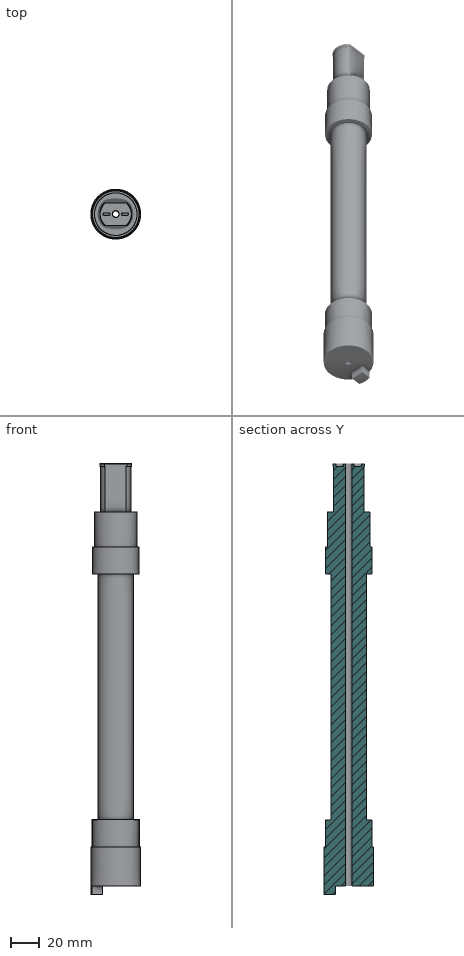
import cadquery as cq

TOTAL_HEIGHT = 301.8
LUG_HEIGHT = 6.0
SOCKET_TOP = 33.5
LOWER_SLEEVE_TOP = 52.5
UPPER_SLEEVE_BOTTOM = 224.5
UPPER_SLEEVE_TOP = 243.5
PLUG_TOP = 268.0

SOCKET_DIAMETER = 34.8
LOWER_SLEEVE_DIAMETER = 33.0
TUBE_DIAMETER = 25.0
UPPER_SLEEVE_DIAMETER = 32.7
PLUG_DIAMETER = 29.8

LUG_WIDTH = 9.8
LUG_LENGTH = 8.2

TANG_DIAMETER = 21.5
TANG_THICKNESS = 15.7
RIM_DIAMETER = 22.3
RIM_HEIGHT = 2.0

BORE_DIAMETER = 4.5
SLOT_INNER_END = 4.0
SLOT_OUTER_END = 8.9
SLOT_WIDTH = 1.6
SLOT_DEPTH = 2.0


def round_section(diameter, bottom, top):
    """Solid cylinder on the Z axis between two levels."""
    return cq.Workplane("XY").workplane(offset=bottom).circle(diameter / 2).extrude(top - bottom)


def flatted_section(diameter, thickness, bottom, top):
    """Cylinder with two parallel flats facing -Y and +Y."""
    slab = (
        cq.Workplane("XY")
        .workplane(offset=bottom)
        .rect(diameter, thickness)
        .extrude(top - bottom)
    )
    return round_section(diameter, bottom, top).intersect(slab)


def driving_lug():
    """Lug on the -X side, flush with the outside of the socket."""
    radius = SOCKET_DIAMETER / 2
    block = (
        cq.Workplane("XY")
        .center(-radius + LUG_LENGTH / 2, 0)
        .rect(LUG_LENGTH, LUG_WIDTH)
        .extrude(SOCKET_TOP)
    )
    return block.intersect(round_section(SOCKET_DIAMETER, 0, SOCKET_TOP))


def stepped_body():
    """Socket, sleeves, tube and plug stacked along Z."""
    body = round_section(SOCKET_DIAMETER, LUG_HEIGHT, SOCKET_TOP)
    body = body.union(round_section(LOWER_SLEEVE_DIAMETER, SOCKET_TOP, LOWER_SLEEVE_TOP))
    body = body.union(round_section(TUBE_DIAMETER, LOWER_SLEEVE_TOP, UPPER_SLEEVE_BOTTOM))
    body = body.union(round_section(UPPER_SLEEVE_DIAMETER, UPPER_SLEEVE_BOTTOM, UPPER_SLEEVE_TOP))
    return body.union(round_section(PLUG_DIAMETER, UPPER_SLEEVE_TOP, PLUG_TOP))


def tang():
    """Flatted tang and its slightly wider rim."""
    rim_bottom = TOTAL_HEIGHT - RIM_HEIGHT
    shank = flatted_section(TANG_DIAMETER, TANG_THICKNESS, PLUG_TOP, rim_bottom)
    rim = flatted_section(RIM_DIAMETER, TANG_THICKNESS, rim_bottom, TOTAL_HEIGHT)
    return shank.union(rim)


def blade_slots():
    """Pair of round-ended slots along X, one on each side of the bore."""
    middle = (SLOT_INNER_END + SLOT_OUTER_END) / 2
    return (
        cq.Workplane("XY")
        .workplane(offset=TOTAL_HEIGHT)
        .pushPoints([(-middle, 0), (middle, 0)])
        .slot2D(SLOT_OUTER_END - SLOT_INNER_END, SLOT_WIDTH)
        .extrude(-SLOT_DEPTH)
    )


result = stepped_body().union(driving_lug()).union(tang())
result = result.cut(round_section(BORE_DIAMETER, 0, TOTAL_HEIGHT))
result = result.cut(blade_slots())